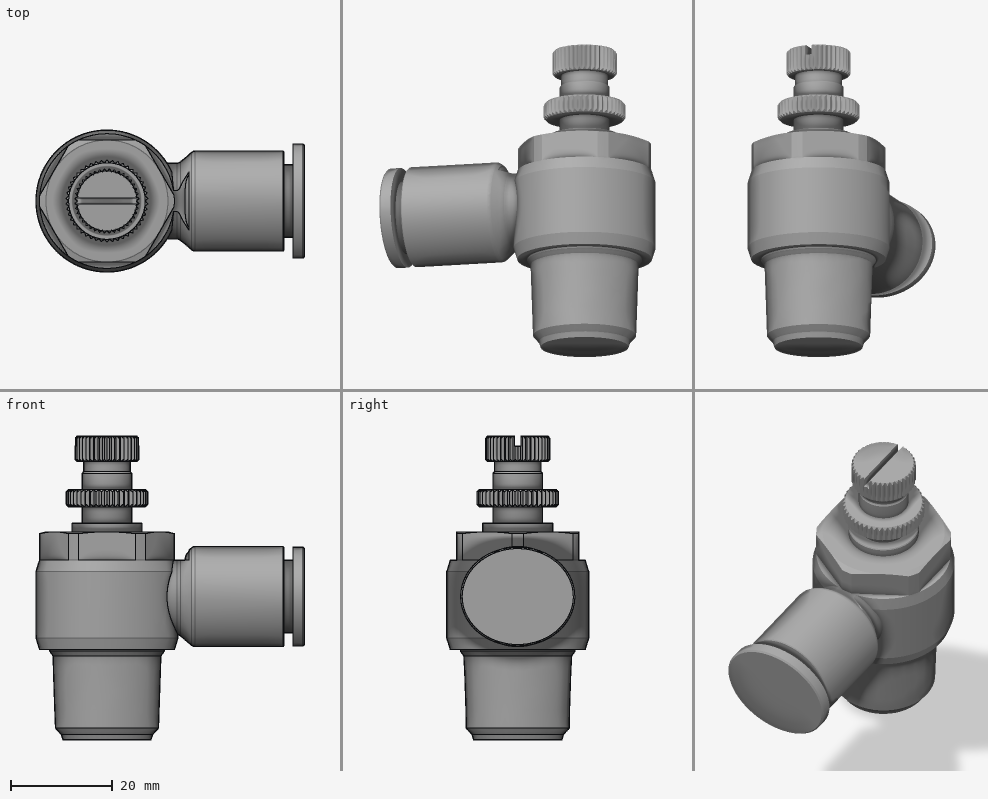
import cadquery as cq
import math

TIP_TOP = 1.1
THREAD_BOTTOM = 2.35
THREAD_TOP = 16.55
FLARE_TOP = 17.45
BODY_BOTTOM = 17.75
BODY_TOP = 35.4
HEX_TOP = 40.95
COLLAR_TOP = 42.75
NUT_BOTTOM = 45.85
NUT_TOP = 49.35
STEM_TOP = 52.8
KNOB_BOTTOM = 54.85
KNOB_TOP = 59.8

TIP_RADIUS = 8.7
TIP_TOP_RADIUS = 9.0
THREAD_BOTTOM_RADIUS = 10.15
THREAD_TOP_RADIUS = 10.65
FLARE_RADIUS = 11.3
BODY_RADIUS = 14.0
BODY_END_RADIUS = 13.3
COLLAR_RADIUS = 6.95
STEM_RADIUS = 4.9
STEM_NECK_RADIUS = 4.6

BODY_CHAMFER_HEIGHT = 2.3
COLLAR_CHAMFER = 0.2
STEM_CHAMFER = STEM_RADIUS - STEM_NECK_RADIUS

HEX_ACROSS_FLATS = 24.05
HEX_CORNER_RADIUS = BODY_END_RADIUS
HEX_CHAMFER_HEIGHT = 0.35

NUT_RADIUS = 8.1
NUT_TEETH = 46
KNOB_RADIUS = 6.35
KNOB_TEETH = 40
TOOTH_DEPTH = 0.55
NUT_CHAMFER = 0.55
KNOB_CHAMFER = 0.4
SLOT_WIDTH = 1.2
SLOT_DEPTH = 2.0

BRANCH_Z = 28.2
BRANCH_NECK_RADIUS = 7.5
SLEEVE_RADIUS = 9.85
CONE_START = 14.2
CONE_END = 17.0
CONE_FILLET = 1.1
SLEEVE_END = 34.85
SLEEVE_END_CHAMFER = 0.2
RING_NECK_RADIUS = 7.2
FLANGE_START = 36.6
FLANGE_END = 38.9
FLANGE_HALF_WIDTH = 11.25
FLANGE_HALF_HEIGHT = 9.75
FLANGE_CHAMFER = 0.3

SHOULDER_X = 15.35
SHOULDER_RADIUS = 2.3


def turn_about_z(profile):
    """Solid of revolution about Z from (radius, height) points."""
    return cq.Workplane("XZ").polyline(profile).close().revolve(360, (0, 0), (0, 1))


def turned_body():
    """Threaded end, body, collar and stem as one turned profile."""
    profile = [
        (0, 0),
        (TIP_RADIUS, 0),
        (TIP_TOP_RADIUS, TIP_TOP),
        (THREAD_BOTTOM_RADIUS, THREAD_BOTTOM),
        (THREAD_TOP_RADIUS, THREAD_TOP),
        (FLARE_RADIUS, FLARE_TOP),
        (FLARE_RADIUS, BODY_BOTTOM),
        (BODY_END_RADIUS, BODY_BOTTOM),
        (BODY_RADIUS, BODY_BOTTOM + BODY_CHAMFER_HEIGHT),
        (BODY_RADIUS, BODY_TOP - BODY_CHAMFER_HEIGHT),
        (BODY_END_RADIUS, BODY_TOP),
        (COLLAR_RADIUS, BODY_TOP),
        (COLLAR_RADIUS, COLLAR_TOP - COLLAR_CHAMFER),
        (COLLAR_RADIUS - COLLAR_CHAMFER, COLLAR_TOP),
        (STEM_RADIUS, COLLAR_TOP),
        (STEM_RADIUS, STEM_TOP - STEM_CHAMFER),
        (STEM_NECK_RADIUS, STEM_TOP),
        (STEM_NECK_RADIUS, KNOB_BOTTOM),
        (0, KNOB_BOTTOM),
    ]
    return turn_about_z(profile)


def hexagon():
    """Hexagon with flats facing +Y and -Y, rounded corners and a chamfered top."""
    across_corners = HEX_ACROSS_FLATS / math.cos(math.pi / 6)
    height = HEX_TOP - BODY_TOP
    prism = cq.Workplane("XY", origin=(0, 0, BODY_TOP)).polygon(6, across_corners).extrude(height)
    envelope = [
        (0, BODY_TOP),
        (HEX_CORNER_RADIUS, BODY_TOP),
        (HEX_CORNER_RADIUS, HEX_TOP - HEX_CHAMFER_HEIGHT),
        (HEX_ACROSS_FLATS / 2, HEX_TOP),
        (0, HEX_TOP),
    ]
    return prism.intersect(turn_about_z(envelope))


def knurled_disc(radius, teeth, bottom, top, chamfer, first_tooth):
    """Disc with pointed vertical teeth and chamfered rims; first_tooth is an angle in radians."""
    root_radius = radius - TOOTH_DEPTH
    points = []
    for i in range(2 * teeth):
        angle = first_tooth + i * math.pi / teeth
        r = radius if i % 2 == 0 else root_radius
        points.append((r * math.cos(angle), r * math.sin(angle)))
    toothed = cq.Workplane("XY", origin=(0, 0, bottom)).polyline(points).close().extrude(top - bottom)
    blank = (
        cq.Workplane("XY", origin=(0, 0, bottom))
        .circle(radius)
        .extrude(top - bottom)
        .edges()
        .chamfer(chamfer)
    )
    return toothed.intersect(blank)


def lock_nut():
    """Knurled lock nut with one tooth pointing along +Y."""
    return knurled_disc(NUT_RADIUS, NUT_TEETH, NUT_BOTTOM, NUT_TOP, NUT_CHAMFER, math.pi / 2)


def knob():
    """Knurled knob with a screwdriver slot along X."""
    half_pitch = math.pi / KNOB_TEETH
    disc = knurled_disc(KNOB_RADIUS, KNOB_TEETH, KNOB_BOTTOM, KNOB_TOP, KNOB_CHAMFER, half_pitch)
    slot = cq.Workplane("XY", origin=(0, 0, KNOB_TOP - SLOT_DEPTH / 2)).box(
        2 * KNOB_RADIUS, SLOT_WIDTH, SLOT_DEPTH
    )
    return disc.cut(slot)


def clearance_cut():
    """Flat above the branch neck, ending at a shoulder that is round about the branch axis."""
    slope = math.atan2(SLEEVE_RADIUS - BRANCH_NECK_RADIUS, CONE_END - CONE_START)
    flat_height = BODY_TOP - BRANCH_Z
    turn = math.pi / 2 - slope

    def shoulder_point(angle):
        """Point on the shoulder arc, which starts upright and ends tangent to the cone."""
        x = SHOULDER_X + SHOULDER_RADIUS * (1 - math.cos(angle))
        return (x, flat_height + SHOULDER_RADIUS * math.sin(angle))

    end = shoulder_point(turn)
    outside = (
        cq.Workplane("XZ", origin=(0, 0, BRANCH_Z))
        .moveTo(0, 0)
        .lineTo(SHOULDER_X, 0)
        .lineTo(SHOULDER_X, flat_height)
        .threePointArc(shoulder_point(turn / 2), end)
        .lineTo(end[0], SLEEVE_RADIUS)
        .lineTo(0, SLEEVE_RADIUS)
        .close()
        .revolve(360, (0, 0), (1, 0))
    )
    above_flat = cq.Workplane("XY", origin=(0, 0, BODY_TOP)).box(
        2 * SLEEVE_END, 2 * SLEEVE_RADIUS, SLEEVE_RADIUS, centered=(True, True, False)
    )
    return outside.intersect(above_flat)


def branch():
    """Neck, cone and sleeve turned about the X axis, with an oval release flange at the end."""
    sleeve_profile = [
        (0, 0),
        (0, BRANCH_NECK_RADIUS),
        (CONE_START, BRANCH_NECK_RADIUS),
        (CONE_END, SLEEVE_RADIUS),
        (SLEEVE_END - SLEEVE_END_CHAMFER, SLEEVE_RADIUS),
        (SLEEVE_END, SLEEVE_RADIUS - SLEEVE_END_CHAMFER),
        (SLEEVE_END, RING_NECK_RADIUS),
        (FLANGE_START, RING_NECK_RADIUS),
        (FLANGE_START, 0),
    ]
    sleeve = (
        cq.Workplane("XZ", origin=(0, 0, BRANCH_Z))
        .polyline(sleeve_profile)
        .close()
        .revolve(360, (0, 0), (1, 0))
    )
    cone_rims = cq.selectors.BoxSelector(
        (CONE_START - CONE_FILLET, -SLEEVE_RADIUS, BRANCH_Z - SLEEVE_RADIUS),
        (CONE_END + CONE_FILLET, SLEEVE_RADIUS, BRANCH_Z + SLEEVE_RADIUS),
    )
    sleeve = sleeve.edges(cone_rims).edges("%CIRCLE").fillet(CONE_FILLET)
    flange = (
        cq.Workplane("YZ", origin=(FLANGE_START, 0, BRANCH_Z))
        .ellipse(FLANGE_HALF_WIDTH, FLANGE_HALF_HEIGHT)
        .extrude(FLANGE_END - FLANGE_START)
        .faces(">X")
        .edges()
        .chamfer(FLANGE_CHAMFER)
    )
    return sleeve.cut(clearance_cut()).union(flange)


result = turned_body().union(branch()).union(hexagon()).union(lock_nut()).union(knob())